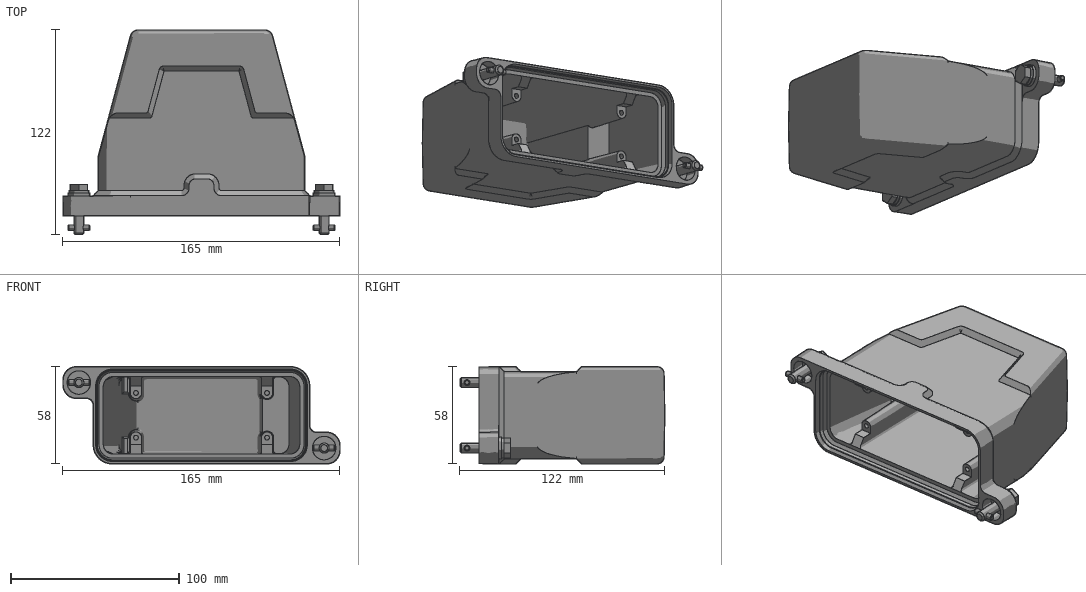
import cadquery as cq
import math


overall_length = 165.0
overall_height = 58.0
back_y = 110.7
draft_angle = 1.0

wall_step = 3.0
flange_half_length = 64.5
flange_half_height = overall_height / 2
flange_corner_radius = 11.5
flange_slope_y = 12.0
flange_back_y = flange_slope_y + wall_step

lug_bottom_z = 10.0
lug_corner_radius = 8.0
lug_inner_radius = 4.0
lug_back_y = 11.7
lug_recess_radius = 7.0
lug_recess_depth = 8.0

lower_half_length = flange_half_length - wall_step
lower_half_height = flange_half_height - wall_step
lower_corner_radius = flange_corner_radius - wall_step
taper_start_y = 35.7
side_taper = 15.0
back_corner_radius = 5.0
back_edge_radius = 4.3

panel_shoulder_y = 58.2
panel_top_y = 86.2
panel_top_half_length = 22.3
panel_corner_radius = 2.5

tab_half_length = 10.4
tab_end_y = 25.0
tab_corner_radius = 6.9
tab_foot_radius = 1.6
tab_root_half_length = 30.0
tab_root_y = lug_back_y - wall_step

seal_mouth_inset = 1.5
seal_lip_inset = 2.0
seal_lip_depth = 2.8
seal_land_inset = 2.5
seal_land_depth = 5.4
seal_floor_inset = 3.5

cavity_mouth_y = 8.0
cavity_mouth_half_length = 58.5
cavity_half_height = 23.1
cavity_corner_radius = 6.0
cavity_bend_y = 65.0
cavity_bend_half_length = 49.2
cavity_bend_corner_radius = 5.0
cavity_floor_y = 107.0
cavity_floor_half_length = 38.3
cavity_floor_radius = 1.0
cavity_draft = 0.5
shelf_y = 48.0
shelf_edge_x = 36.3

post_x = 39.0
post_z = 13.3
post_radius = 3.2
post_end_y = 18.3
post_hole_radius = 1.4
post_hole_depth = 10.0
post_ledge_z = 17.3
post_ledge_y = 12.0
post_fillet_radius = 1.6
rib_outer_x = 47.2
rib_inner_x = 43.0
rib_end_z = 12.8
rib_end_y = 50.0
rib_chamfer = 1.0

screw_x = 73.0
screw_z = 19.5
screw_radius = 3.0
screw_length_to_back = 121.95
screw_tip_y = back_y - screw_length_to_back
screw_tip_chamfer = 1.0
cross_pin_y = -7.1
cross_pin_radius = 1.7
cross_pin_length = 13.0
cross_pin_chamfer = 0.5
washer_radius = 6.5
spring_washer_radius = 6.0
washer_y = 13.5
head_y = 15.0
head_end_y = 18.8
head_across_flats = 10.4


def y_plane(y):
    """Sketch plane facing +Y: local x is -X, local y is Z."""
    return cq.Workplane(cq.Plane(origin=(0, y, 0), xDir=(-1, 0, 0), normal=(0, 1, 0)))


def rounded_prism(half_length, half_height, radius, y_start, y_end):
    block = cq.Workplane("XY").box(2 * half_length, y_end - y_start, 2 * half_height)
    return block.translate((0, (y_start + y_end) / 2, 0)).edges("|Y").fillet(radius)


def bar(x_start, x_end, y_start, y_end, z_start, z_end):
    size = (x_end - x_start, y_end - y_start, z_end - z_start)
    return cq.Workplane("XY").box(*size, centered=False).translate((x_start, y_start, z_start))


def with_mirror(half):
    return half.union(half.mirror("XY"))


def half_turn(shape):
    return shape.rotate((0, 0, 0), (0, 1, 0), 180)


def taper_half_length(y):
    return lower_half_length - (y - taper_start_y) * math.tan(math.radians(side_taper))


def make_taper_half():
    """Upper half of the drafted envelope of the hood, reaching below the mouth."""
    outline = [
        (-taper_half_length(-wall_step), -wall_step),
        (taper_half_length(-wall_step), -wall_step),
        (taper_half_length(back_y), back_y),
        (-taper_half_length(back_y), back_y),
    ]
    return cq.Workplane("XY").polyline(outline).close().extrude(flange_half_height, taper=draft_angle)


def make_panel_cutter():
    """Space above the sunken panel, widening upward at 45 degrees."""
    slope = math.tan(math.radians(side_taper))
    shoulder_half_length = panel_top_half_length + (panel_top_y - panel_shoulder_y) * slope
    reach = overall_length / 2
    outline = [
        (-reach, 0),
        (reach, 0),
        (reach, panel_shoulder_y),
        (shoulder_half_length, panel_shoulder_y),
        (panel_top_half_length, panel_top_y),
        (-panel_top_half_length, panel_top_y),
        (-shoulder_half_length, panel_shoulder_y),
        (-reach, panel_shoulder_y),
    ]
    base = cq.Workplane("XY", origin=(0, 0, lower_half_height)).polyline(outline).close()
    cutter = base.extrude(2 * wall_step, taper=-45)
    corners = cq.selectors.BoxSelector(
        (-reach / 2, panel_shoulder_y - wall_step, lower_half_height + wall_step / 2),
        (reach / 2, panel_top_y + 2 * wall_step, lower_half_height + 3 * wall_step / 2),
    )
    return cutter.edges(corners).edges("not #Z").fillet(panel_corner_radius)


def make_hood():
    envelope_half = make_taper_half()
    back_corners = cq.selectors.BoxSelector(
        (-lower_half_length, back_y - wall_step, wall_step),
        (lower_half_length, back_y + wall_step, lower_half_height),
    )
    upper_half = envelope_half.edges(back_corners).fillet(back_corner_radius)
    upper_half = upper_half.faces(">Z").edges("not <Y").fillet(back_edge_radius)
    reach = overall_length / 2
    upper_half = upper_half.intersect(bar(-reach, reach, panel_shoulder_y, 2 * back_y, -reach, reach))
    upper_half = upper_half.cut(make_panel_cutter())
    lower = rounded_prism(
        lower_half_length, lower_half_height, lower_corner_radius, 1, panel_shoulder_y
    ).intersect(with_mirror(envelope_half))
    return lower.union(with_mirror(upper_half))


def make_rim():
    """Rim of the mouth with its two lugs, drafted toward the mouth face."""
    lug_end = overall_length / 2
    outline = y_plane(lug_back_y).moveTo(lug_end - lug_corner_radius, flange_half_height)
    for side in (1, -1):
        corners = [
            (flange_corner_radius - flange_half_length, flange_half_height),
            (-flange_half_length, flange_half_height - flange_corner_radius),
            (-flange_half_length, lug_inner_radius - lug_bottom_z),
            (-flange_half_length - lug_inner_radius, -lug_bottom_z),
            (lug_corner_radius - lug_end, -lug_bottom_z),
            (-lug_end, -lug_bottom_z - lug_corner_radius),
            (-lug_end, lug_corner_radius - flange_half_height),
            (lug_corner_radius - lug_end, -flange_half_height),
        ]
        for index, (across, z) in enumerate(corners):
            point = (side * across, side * z)
            is_straight = index % 2 == 0
            outline = outline.lineTo(*point) if is_straight else outline.tangentArcPoint(point, relative=False)
    return outline.close().extrude(-lug_back_y, taper=draft_angle)


def make_flange():
    """Flange with its lugs and a 45 degree slope toward the hood."""
    outline = cq.Sketch().rect(2 * flange_half_length, overall_height).vertices().fillet(flange_corner_radius)
    collar = y_plane(lug_back_y).placeSketch(outline).extrude(flange_slope_y - lug_back_y)
    slope = y_plane(flange_slope_y).placeSketch(outline).extrude(wall_step, taper=45)
    return make_rim().union(collar).union(slope)


def make_tab():
    """Sloped grip tab blending into the sloped back of the flange."""
    outline = [
        (-tab_root_half_length, tab_root_y),
        (tab_root_half_length, tab_root_y),
        (tab_root_half_length, flange_back_y),
        (tab_half_length, flange_back_y),
        (tab_half_length, tab_end_y),
        (-tab_half_length, tab_end_y),
        (-tab_half_length, flange_back_y),
        (-tab_root_half_length, flange_back_y),
    ]
    root = cq.Workplane("XY").polyline(outline).close().extrude(1)
    root = root.edges("|Z and >Y").fillet(tab_corner_radius)
    feet = cq.selectors.BoxSelector(
        (-tab_half_length - 1, flange_back_y - 1, -1), (tab_half_length + 1, flange_back_y + 1, 2)
    )
    root = root.edges("|Z").edges(feet).fillet(tab_foot_radius)
    base = root.faces("<Z").wires().val().translate(cq.Vector(0, 0, lower_half_height))
    plane = cq.Workplane("XY", origin=(0, 0, lower_half_height))
    return plane.add(base).toPending().extrude(wall_step, taper=45)


def make_seal_ring(start_inset, end_inset, start_y, end_y):
    """Space inside one stretch of the seal seat, narrowing with depth."""
    outline = cq.Sketch().rect(2 * (flange_half_length - start_inset), overall_height - 2 * start_inset)
    outline = outline.vertices().fillet(flange_corner_radius - start_inset)
    depth = end_y - start_y
    taper = math.degrees(math.atan((end_inset - start_inset) / depth))
    return y_plane(start_y).placeSketch(outline).extrude(depth, taper=taper)


def make_seal_seat():
    lip = make_seal_ring(seal_mouth_inset, seal_lip_inset, 0, seal_lip_depth)
    land = make_seal_ring(seal_land_inset, seal_land_inset, 0, seal_land_depth)
    floor = make_seal_ring(seal_land_inset, seal_floor_inset, seal_land_depth, cavity_mouth_y)
    return lip.union(land).union(floor)


def cavity_section(half_length, y):
    narrowing = (y - cavity_mouth_y) * math.tan(math.radians(cavity_draft))
    return cq.Sketch().rect(2 * half_length, 2 * (cavity_half_height - narrowing))


def make_empty_cavity():
    """Tapered cavity with a shelf at its +X end."""
    mouth = cavity_section(cavity_mouth_half_length, cavity_mouth_y)
    mouth = mouth.vertices().fillet(cavity_corner_radius)
    bend = cavity_section(cavity_bend_half_length, cavity_bend_y)
    rounded_bend = bend.copy().vertices().fillet(cavity_bend_corner_radius)
    floor = cavity_section(cavity_floor_half_length, cavity_floor_y)
    bend_offset = cq.Location(cq.Vector(0, 0, cavity_bend_y - cavity_mouth_y))
    floor_offset = cq.Location(cq.Vector(0, 0, cavity_floor_y - cavity_bend_y))
    lower = y_plane(cavity_mouth_y).placeSketch(mouth, rounded_bend.moved(bend_offset)).loft()
    upper = y_plane(cavity_bend_y).placeSketch(bend, floor.moved(floor_offset)).loft()
    shelf_foot_x = shelf_edge_x - (cavity_floor_y - shelf_y) * math.tan(math.radians(draft_angle))
    shelf_outline = [
        (shelf_edge_x, shelf_y),
        (flange_half_length, shelf_y),
        (flange_half_length, cavity_floor_y),
        (shelf_foot_x, cavity_floor_y),
    ]
    shelf_plane = cq.Workplane("XY", origin=(0, 0, -flange_half_height))
    shelf = shelf_plane.polyline(shelf_outline).close().extrude(overall_height)
    return lower.union(upper).cut(shelf)


def make_post(x):
    """Drafted screw post on the upper cavity wall, stepped back from its ledge to its end."""
    post = (
        y_plane(cavity_mouth_y)
        .moveTo(post_radius, flange_half_height)
        .lineTo(post_radius, post_z)
        .threePointArc((0, post_z - post_radius), (-post_radius, post_z))
        .lineTo(-post_radius, flange_half_height)
        .close()
        .extrude(cavity_floor_y - cavity_mouth_y, taper=-draft_angle)
    )
    front_clearance = (
        cq.Workplane("YZ", origin=(-2 * post_radius, 0, 0))
        .polyline([
            (cavity_mouth_y, 0),
            (post_end_y, 0),
            (post_end_y, post_ledge_z),
            (post_ledge_y, post_ledge_z),
            (cavity_mouth_y, cavity_half_height),
        ])
        .close()
        .extrude(4 * post_radius)
    )
    hole = y_plane(post_end_y).center(0, post_z).circle(post_hole_radius).extrude(post_hole_depth)
    return post.cut(front_clearance).cut(hole).translate((x, 0, 0))


def make_rib():
    """Rib between a -X post and the sloped end wall."""
    rib = bar(-rib_outer_x, -rib_inner_x, rib_end_y, cavity_floor_y, rib_end_z, flange_half_height)
    return rib.faces("<Y").edges("not >Z").chamfer(rib_chamfer)


def make_cavity():
    """Cavity around the four screw posts and two ribs, rounded beside the posts."""
    fittings = make_post(-post_x).union(make_post(post_x)).union(make_rib())
    cavity = make_empty_cavity().cut(with_mirror(fittings))
    middle_y = (cavity_mouth_y + cavity_floor_y) / 2
    beside_posts = []
    for x in (-post_x - post_radius, -post_x + post_radius, post_x - post_radius, post_x + post_radius):
        for side in (1, -1):
            along_wall = cq.selectors.BoxSelector(
                (x - 1, post_end_y, side * (cavity_half_height - 1)),
                (x + 1, middle_y + 1, side * flange_half_height),
            )
            beside_posts += cavity.edges(along_wall).edges("not #X").vals()
    cavity = cavity.newObject(beside_posts).fillet(post_fillet_radius)
    return cavity.faces(">Y").edges().fillet(cavity_floor_radius)


def make_screw():
    """Captive screw of the -X lug, with cross pin, washers and hexagon head."""
    shaft = y_plane(screw_tip_y).circle(screw_radius).extrude(head_y - screw_tip_y)
    shaft = shaft.faces("<Y").chamfer(screw_tip_chamfer)
    pin = (
        cq.Workplane("YZ", origin=(-cross_pin_length / 2, cross_pin_y, 0))
        .circle(cross_pin_radius)
        .extrude(cross_pin_length)
        .edges()
        .chamfer(cross_pin_chamfer)
    )
    washer = y_plane(lug_back_y).circle(washer_radius).extrude(washer_y - lug_back_y)
    spring = y_plane(washer_y).circle(spring_washer_radius).extrude(head_y - washer_y)
    head = (
        y_plane(head_y)
        .transformed(rotate=(0, 0, 90))
        .polygon(6, head_across_flats / math.cos(math.pi / 6))
        .extrude(head_end_y - head_y)
    )
    screw = shaft.union(pin).union(washer).union(spring).union(head)
    return screw.translate((-screw_x, 0, screw_z))


shell = make_hood().union(make_flange()).union(with_mirror(make_tab()))
shell = shell.cut(make_seal_seat()).cut(make_cavity())
recess = y_plane(0).center(screw_x, screw_z).circle(lug_recess_radius).extrude(lug_recess_depth)
shell = shell.cut(recess).cut(half_turn(recess))
screw = make_screw()
result = shell.union(screw).union(half_turn(screw))